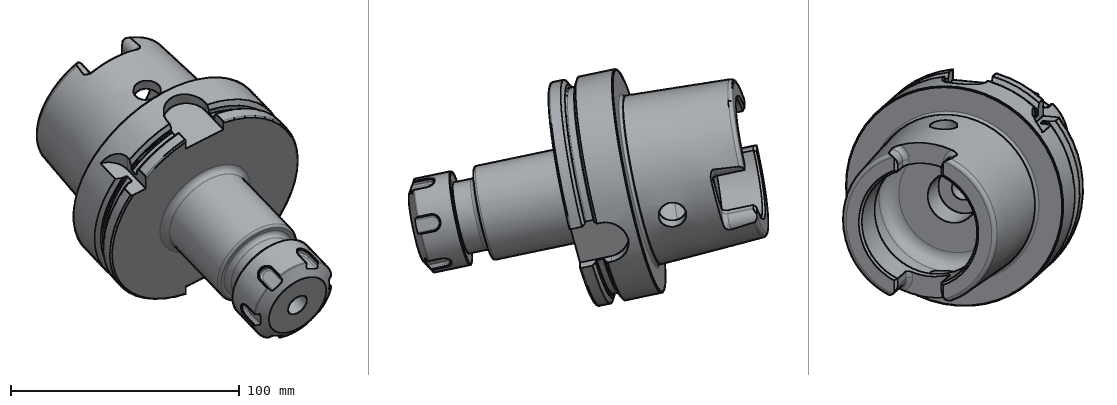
import cadquery as cq
import math


total_length = 150.0
taper_length = 50.0
flange_end = 79.0
shank_end = 119.8
nut_start = 129.9

taper_slope = 0.05
gauge_radius = 37.8
mouth_edge_fillet = 2.0
relief_length = 1.8
relief_depth = 0.2
relief_fillet = 1.2

bore_radius = 26.48
bore_mouth_chamfer = 1.0
bore_land_end = 19.0
undercut_radius = 31.5
undercut_cone_angle = 45.0
cavity_depth = 47.0
cavity_fillet = 6.9
coolant_recess_radius = 11.18
coolant_recess_depth = 15.0
through_hole_diameter = 10.0

slot_width = 20.1
slot_wall_height = 27.5
slot_edge_radius = 5.0
slot_floor_fillet = 2.2
slot_mouth_chamfer = 1.2
upper_slot_depth = 10.0
lower_slot_depth = 15.0

cross_hole_x = 35.1
cross_hole_diameter = 12.0

flange_radius = 150 / 3
flange_back_chamfer = 0.5
flange_front_fillet = 0.8
groove_start = 66.6
groove_end = 73.4
groove_radius = 46.0
groove_slot_width = 4.0
groove_flank_angle = 30.0
groove_floor_fillet = 0.6

key_slot_width = 20.0
key_slot_start = 55.0
key_slot_floor = 44.0
notch_offset = 31.4

shank_radius = 21.0
shank_root_fillet = 3.0
shank_edge_fillet = 1.2
neck_radius = 15.98
neck_fillet = 2.2
neck_end = 142.0

nut_radius = 21.0
nut_face_radius = 15.22
nut_cone_length = 3.6
nut_back_chamfer = 0.5
nut_cone_fillet = 0.5
nut_slot_count = 6
first_nut_slot_angle = 30.0
nut_slot_half_width = 3.5
nut_slot_center_x = 140.7
nut_slot_floor = 18.3
nut_slot_floor_fillet = 0.8
nut_slot_edge_chamfer = 0.5


def revolve_about_x(outline):
    """Turn an outline drawn in XY, with Y as the radius, about the X axis."""
    return outline.close().revolve(360, (0, 0, 0), (1, 0, 0))


def cylinder_along_x(radius, start, end):
    return cq.Workplane("YZ").workplane(offset=start).circle(radius).extrude(end - start)


def circle_edge(x, radius):
    """Selector for the circular edge of the given radius at x."""
    pad = 0.08
    inner = radius - pad
    outer = radius + pad
    disc_edges = cq.selectors.BoxSelector((x - pad, -outer, -outer), (x + pad, outer, outer), boundingbox=True)
    smaller_edges = cq.selectors.BoxSelector((x - pad, -inner, -inner), (x + pad, inner, inner), boundingbox=True)
    return disc_edges - smaller_edges


def holder_blank():
    relief_start = taper_length - relief_length
    relief_radius = gauge_radius - relief_depth
    mouth_radius = gauge_radius - taper_slope * taper_length
    taper_end_radius = gauge_radius - taper_slope * relief_length
    groove_flank_length = (groove_end - groove_start - groove_slot_width) / 2
    groove_flank_depth = groove_flank_length / math.tan(math.radians(groove_flank_angle))
    groove_slot_start = groove_start + groove_flank_length
    groove_slot_end = groove_end - groove_flank_length
    groove_slot_rim = flange_radius - groove_flank_depth
    outline = (
        cq.Workplane("XY")
        .lineTo(0, mouth_radius)
        .lineTo(relief_start, taper_end_radius)
        .lineTo(relief_start + relief_depth, relief_radius)
        .lineTo(taper_length, relief_radius)
        .lineTo(taper_length, flange_radius - flange_back_chamfer)
        .lineTo(taper_length + flange_back_chamfer, flange_radius)
        .lineTo(groove_start, flange_radius)
        .lineTo(groove_slot_start, groove_slot_rim)
        .lineTo(groove_slot_start, groove_radius)
        .lineTo(groove_slot_end, groove_radius)
        .lineTo(groove_slot_end, groove_slot_rim)
        .lineTo(groove_end, flange_radius)
        .lineTo(flange_end, flange_radius)
        .lineTo(flange_end, shank_radius)
        .lineTo(shank_end, shank_radius)
        .lineTo(shank_end, neck_radius)
        .lineTo(neck_end, neck_radius)
        .lineTo(neck_end, 0)
    )
    return revolve_about_x(outline)


def shank_cavity():
    cone_length = (undercut_radius - bore_radius) / math.tan(math.radians(undercut_cone_angle))
    fillet_corner = cavity_fillet * (1 - math.sqrt(0.5))
    outline = (
        cq.Workplane("XY")
        .lineTo(0, bore_radius + bore_mouth_chamfer)
        .lineTo(bore_mouth_chamfer, bore_radius)
        .lineTo(bore_land_end, bore_radius)
        .lineTo(bore_land_end + cone_length, undercut_radius)
        .lineTo(cavity_depth - cavity_fillet, undercut_radius)
        .threePointArc(
            (cavity_depth - fillet_corner, undercut_radius - fillet_corner),
            (cavity_depth, undercut_radius - cavity_fillet),
        )
        .lineTo(cavity_depth, 0)
    )
    return revolve_about_x(outline)


def driving_slot(depth, side):
    """Cutter for a slot in the open end, on the +Z (side = 1) or -Z (side = -1) half."""
    half_width = slot_width / 2
    flare_half_width = half_width + slot_edge_radius
    flare_height = slot_wall_height + slot_edge_radius
    arc_inset = slot_edge_radius * (1 - math.sqrt(0.5))
    outer = 2 * gauge_radius
    section = (
        cq.Workplane("YZ")
        .moveTo(-half_width, 0)
        .lineTo(-half_width, slot_wall_height)
        .threePointArc(
            (-half_width - arc_inset, flare_height - arc_inset),
            (-flare_half_width, flare_height),
        )
        .lineTo(-outer, flare_height)
        .lineTo(-outer, outer)
        .lineTo(outer, outer)
        .lineTo(outer, flare_height)
        .lineTo(flare_half_width, flare_height)
        .threePointArc(
            (half_width + arc_inset, flare_height - arc_inset),
            (half_width, slot_wall_height),
        )
        .lineTo(half_width, 0)
        .close()
        .extrude(depth)
    )
    margin = 1.5
    floor_edges = cq.selectors.BoxSelector(
        (depth - margin, -outer + margin, margin),
        (depth + margin, outer - margin, outer - margin),
    )
    section = section.faces(">X").edges(floor_edges).fillet(slot_floor_fillet)
    mouth_half_width = half_width + slot_mouth_chamfer
    mouth = (
        cq.Workplane("XY")
        .moveTo(0, -mouth_half_width)
        .lineTo(slot_mouth_chamfer, -half_width)
        .lineTo(slot_mouth_chamfer, half_width)
        .lineTo(0, mouth_half_width)
        .close()
        .extrude(outer)
    )
    cutter = section.union(mouth)
    return cutter if side > 0 else cutter.mirror("XY")


def cross_hole():
    return (
        cq.Workplane("XY")
        .center(cross_hole_x, 0)
        .circle(cross_hole_diameter / 2)
        .extrude(gauge_radius * 2, both=True)
    )


def rounded_key_cutter(center_y, floor):
    """Upright cutter with a round end, open towards the front of the flange."""
    radius = key_slot_width / 2
    center_x = key_slot_start + radius
    return (
        cq.Workplane("XY")
        .workplane(offset=floor)
        .moveTo(flange_end, center_y - radius)
        .lineTo(center_x, center_y - radius)
        .threePointArc((key_slot_start, center_y), (center_x, center_y + radius))
        .lineTo(flange_end, center_y + radius)
        .close()
        .extrude(flange_radius)
    )


def make_holder():
    mouth_radius = gauge_radius - taper_slope * taper_length
    groove_middle = (groove_start + groove_end) / 2
    rounded_edges = (
        (0, mouth_radius, mouth_edge_fillet),
        (taper_length, gauge_radius - relief_depth, relief_fillet),
        (groove_middle - groove_slot_width / 2, groove_radius, groove_floor_fillet),
        (groove_middle + groove_slot_width / 2, groove_radius, groove_floor_fillet),
        (flange_end, shank_radius, shank_root_fillet),
        (flange_end, flange_radius, flange_front_fillet),
        (shank_end, neck_radius, neck_fillet),
        (shank_end, shank_radius, shank_edge_fillet),
    )
    blank = holder_blank()
    for x, radius, fillet in rounded_edges:
        blank = blank.edges(circle_edge(x, radius)).fillet(fillet)

    holder = blank.cut(shank_cavity())
    holder = holder.cut(driving_slot(upper_slot_depth, 1))
    holder = holder.cut(driving_slot(lower_slot_depth, -1))
    holder = holder.cut(cross_hole())
    holder = holder.cut(
        cylinder_along_x(coolant_recess_radius, cavity_depth, cavity_depth + coolant_recess_depth)
    )
    holder = holder.cut(cylinder_along_x(through_hole_diameter / 2, 0, total_length))
    key_slot = rounded_key_cutter(0, key_slot_floor)
    notch = rounded_key_cutter(-notch_offset - key_slot_width / 2, notch_offset)
    return holder.cut(key_slot).cut(key_slot.mirror("XY")).cut(notch)


def nut_slot():
    """Cutter for one wrench slot on the +Z side of the nut."""
    straight = total_length - nut_slot_center_x
    cutter = (
        cq.Workplane("XY")
        .workplane(offset=nut_slot_floor)
        .center(total_length, 0)
        .slot2D(2 * (straight + nut_slot_half_width), 2 * nut_slot_half_width)
        .extrude(nut_radius - nut_slot_floor)
    )
    return cutter.faces("<Z").edges().fillet(nut_slot_floor_fillet)


def is_slot_rim(edge):
    """True for the edges that a slot leaves on the outer cylinder of the nut."""
    tolerance = 0.002
    box = edge.BoundingBox()
    middle = edge.positionAt(0.5)
    on_cylinder = abs(math.hypot(middle.y, middle.z) - nut_radius) < tolerance
    return on_cylinder and tolerance < box.xlen and box.xmin > nut_start + tolerance


def nut_envelope():
    cone_start = total_length - nut_cone_length
    outline = (
        cq.Workplane("XY")
        .moveTo(nut_start, 0)
        .lineTo(nut_start, nut_radius - nut_back_chamfer)
        .lineTo(nut_start + nut_back_chamfer, nut_radius)
        .lineTo(cone_start, nut_radius)
        .lineTo(total_length, nut_face_radius)
        .lineTo(total_length, 0)
    )
    envelope = revolve_about_x(outline)
    return envelope.edges(circle_edge(cone_start, nut_radius)).fillet(nut_cone_fillet)


def make_nut():
    nut = cylinder_along_x(nut_radius, nut_start, total_length)
    slot = nut_slot()
    for index in range(nut_slot_count):
        angle = first_nut_slot_angle + index * 360 / nut_slot_count
        nut = nut.cut(slot.rotate((0, 0, 0), (1, 0, 0), angle))
    nut = nut.edges().filter(is_slot_rim).chamfer(nut_slot_edge_chamfer)
    nut = nut.intersect(nut_envelope())
    nut = nut.cut(cylinder_along_x(neck_radius, nut_start, neck_end))
    return nut.cut(cylinder_along_x(through_hole_diameter / 2, neck_end, total_length))


holder = make_holder()
nut = make_nut()
result = cq.Compound.makeCompound([holder.val(), nut.val()])